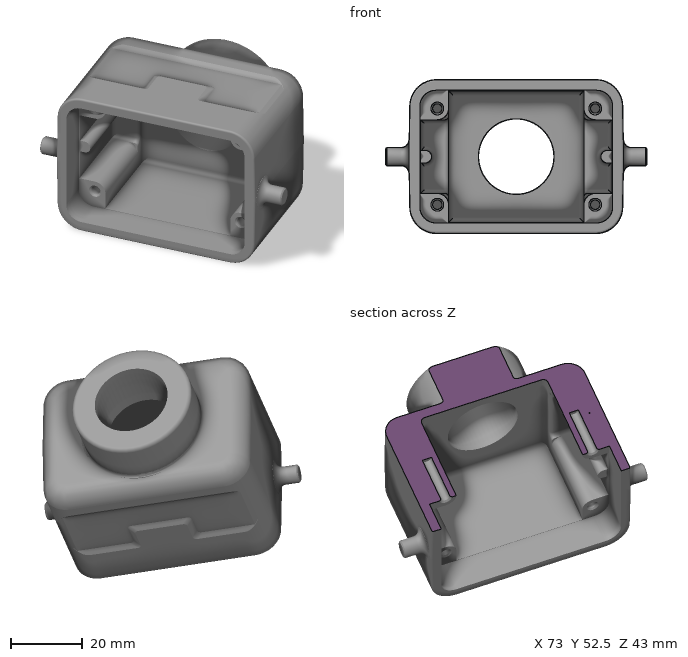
import cadquery as cq
import math

body_depth = 39.9
body_height = 43.0
body_half_width = 30.0
side_draft = 1.0
corner_radius = 7.5
back_radius = 5.1
rim_radius = 0.6

wall_overlap = 0.7

overall_depth = 52.5
collar_radius = 17.15
collar_root_radius = 0.7
collar_rim_radius = 1.1
entry_hole_radius = 10.5

opening_width = 53.9
opening_height = 37.1
opening_radius = 4.5
opening_depth = 9.05

chamber_width = 37.8
chamber_height = 36.8
chamber_floor = 36.95
chamber_floor_radius = 1.4
pocket_width = 53.4
pocket_floor = 33.6
pocket_floor_radius = 1.2
sill_radius = 0.95

screw_x = 22.05
screw_z = 13.4
screw_hole_diameter = 2.6
screw_mouth_diameter = 3.6
screw_hole_depth = 14.6
pillar_radius = screw_x - chamber_width / 2
pocket_height = 2 * (screw_z - pillar_radius)

rib_front = 9.5
rib_tip_x = 23.65
rib_radius = 1.75
rib_root_radius = 1.1

overall_width = 73.0
pin_y = 6.1
pin_radius = 2.55
pin_tip_chamfer = 0.4
pin_root_radius = 2.1

recess_depth = 0.9
recess_front = 13.7
recess_back = 30.2
recess_wall_run = 1.7
recess_corner_radius = 1.1
tongue_half_width = 9.2
tongue_back = 21.7
floor_half_width = 25.6
floor_end_angle = 30.0
cutter_half_width = 29.2
cutter_reach = 1.75


def make_opening():
    opening = cq.Workplane("XY").box(opening_width, opening_depth, opening_height)
    return opening.edges("|Y").fillet(opening_radius).translate((0, opening_depth / 2, 0))


def floored_block(width, height, floor_y, floor_radius):
    """Chamber from the opening to a floor with rounded edges."""
    block = cq.Workplane("XY").box(width, floor_y - opening_depth, height)
    block = block.translate((0, (opening_depth + floor_y) / 2, 0))
    return block.faces(">Y").edges().fillet(floor_radius)


def y_cylinder(radius, y_start, y_end, x=0.0, z=0.0):
    plane = cq.Workplane("XZ", origin=(x, y_start, z))
    return plane.circle(radius).extrude(y_start - y_end)


def make_body():
    half_height = body_height / 2
    edge_half_width = body_half_width - half_height * math.tan(math.radians(side_draft))
    outline = [
        (body_half_width, 0),
        (edge_half_width, half_height),
        (-edge_half_width, half_height),
        (-body_half_width, 0),
        (-edge_half_width, -half_height),
        (edge_half_width, -half_height),
    ]
    body = cq.Workplane("XZ").polyline(outline).close().extrude(-body_depth)
    body = body.edges("|Y and (>Z or <Z)").fillet(corner_radius)
    body = body.faces(">Y").edges().fillet(back_radius)
    return body.faces("<Y").edges().fillet(rim_radius)


def make_collar():
    collar = y_cylinder(collar_radius, chamber_floor, overall_depth)
    return collar.faces(">Y").edges().fillet(collar_rim_radius)


def make_collar_root():
    """Concave flare where the collar meets the back of the body."""
    outer = collar_radius + collar_root_radius
    bend = collar_root_radius * (1 - math.sqrt(0.5))
    profile = (
        cq.Workplane("XY")
        .moveTo(entry_hole_radius, body_depth - collar_root_radius)
        .lineTo(outer, body_depth - collar_root_radius)
        .lineTo(outer, body_depth)
        .threePointArc(
            (collar_radius + bend, body_depth + bend),
            (collar_radius, body_depth + collar_root_radius),
        )
        .lineTo(entry_hole_radius, body_depth + collar_root_radius)
        .close()
    )
    return profile.revolve(360, (0, 0, 0), (0, 1, 0))


def make_pin():
    """Pin on the +X side with a flared root, turned about its own axis."""
    tip_x = overall_width / 2
    root_outer = pin_radius + pin_root_radius
    bend = pin_root_radius * (1 - math.sqrt(0.5))
    root_base_x = body_half_width - wall_overlap
    profile = (
        cq.Workplane("XY")
        .moveTo(root_base_x, pin_y)
        .lineTo(root_base_x, pin_y + root_outer)
        .lineTo(body_half_width, pin_y + root_outer)
        .threePointArc(
            (body_half_width + bend, pin_y + pin_radius + bend),
            (body_half_width + pin_root_radius, pin_y + pin_radius),
        )
        .lineTo(tip_x - pin_tip_chamfer, pin_y + pin_radius)
        .lineTo(tip_x, pin_y + pin_radius - pin_tip_chamfer)
        .lineTo(tip_x, pin_y)
        .close()
    )
    return profile.revolve(360, (0, pin_y, 0), (1, pin_y, 0))


def make_rib():
    """Round-nosed rib on the +X end wall, standing on the pocket floor."""
    nose_x = rib_tip_x + rib_radius
    base_y = pocket_floor + wall_overlap
    root_y = pocket_floor - rib_root_radius
    root_outer = rib_radius + rib_root_radius
    bend = rib_root_radius * (1 - math.sqrt(0.5))
    nose = y_cylinder(rib_radius, rib_front, base_y, nose_x)
    web_length = body_half_width - wall_overlap - nose_x
    web = cq.Workplane("XY").box(web_length, base_y - rib_front, 2 * rib_radius)
    web = web.translate((nose_x + web_length / 2, (base_y + rib_front) / 2, 0))
    root_section = (
        cq.Workplane("XY")
        .moveTo(nose_x, base_y)
        .lineTo(nose_x + root_outer, base_y)
        .lineTo(nose_x + root_outer, pocket_floor)
        .threePointArc(
            (nose_x + rib_radius + bend, pocket_floor - bend),
            (nose_x + rib_radius, root_y),
        )
        .lineTo(nose_x, root_y)
        .close()
    )
    root = root_section.revolve(360, (nose_x, 0, 0), (nose_x, 1, 0))
    return nose.union(web).union(root)


def make_pillar_rounding():
    """Material outside the rounded inner corner of the +X +Z pillar."""
    inner_x = screw_x - pillar_radius
    inner_z = screw_z - pillar_radius
    end_y = pocket_floor - pocket_floor_radius
    corner = (
        cq.Workplane("XZ", origin=(0, opening_depth, 0))
        .moveTo(inner_x, screw_z)
        .lineTo(inner_x - wall_overlap, screw_z)
        .lineTo(inner_x - wall_overlap, inner_z - wall_overlap)
        .lineTo(screw_x, inner_z - wall_overlap)
        .lineTo(screw_x, inner_z)
        .radiusArc((inner_x, screw_z), pillar_radius)
        .close()
    )
    return corner.extrude(opening_depth - end_y)


def make_screw_hole():
    """Blind screw hole with a countersunk mouth in the +X +Z pillar."""
    hole = y_cylinder(screw_hole_diameter / 2, opening_depth, opening_depth + screw_hole_depth)
    mouth_depth = (screw_mouth_diameter - screw_hole_diameter) / 2
    mouth = cq.Solid.makeCone(
        screw_mouth_diameter / 2,
        screw_hole_diameter / 2,
        mouth_depth,
        cq.Vector(0, opening_depth, 0),
        cq.Vector(0, 1, 0),
    )
    return hole.union(cq.Workplane(mouth)).translate((screw_x, 0, screw_z))


def make_cavity():
    opening = make_opening()
    chamber = floored_block(chamber_width, chamber_height, chamber_floor, chamber_floor_radius)
    pockets = floored_block(pocket_width, pocket_height, pocket_floor, pocket_floor_radius)
    return opening.union(chamber).union(pockets)


def round_sills(shell):
    """Round the two edges where the pocket floors drop into the chamber."""
    for side in (-1, 1):
        edge_point = (side * chamber_width / 2, pocket_floor, 0)
        shell = shell.edges(cq.selectors.NearestToPointSelector(edge_point)).fillet(sill_radius)
    return shell


def recess_outline(z):
    """Recess boundary at height z; its walls slope outwards towards the outer face."""
    floor_z = body_height / 2 - recess_depth
    run = (z - floor_z) * recess_wall_run / recess_depth
    front = recess_front - run
    back = recess_back + run
    tongue_x = tongue_half_width - run
    tongue_y = tongue_back - run
    outline = cq.Sketch().polygon(
        [
            (-cutter_half_width, back),
            (cutter_half_width, back),
            (cutter_half_width, front),
            (tongue_x, front),
            (tongue_x, tongue_y),
            (-tongue_x, tongue_y),
            (-tongue_x, front),
            (-cutter_half_width, front),
            (-cutter_half_width, back),
        ]
    )
    tongue_corners = cq.selectors.BoxSelector(
        (-floor_half_width, 0, -0.7), (floor_half_width, recess_back, 0.7)
    )
    outline = outline.vertices(tongue_corners).fillet(recess_corner_radius)
    return outline.moved(cq.Location(cq.Vector(0, 0, z)))


def make_recess():
    """Cutter for the recess in the top face, with a floor that falls away at both ends."""
    face_z = body_height / 2
    floor_z = face_z - recess_depth
    low_z = face_z - cutter_reach
    high_z = face_z + cutter_reach / 2
    sections = cq.Workplane("XY").placeSketch(recess_outline(low_z), recess_outline(high_z))
    sloped = sections.loft(ruled=True)
    end_drop = (cutter_half_width - floor_half_width) * math.tan(math.radians(floor_end_angle))
    plate = (
        cq.Workplane("XZ")
        .polyline(
            [
                (-floor_half_width, floor_z),
                (floor_half_width, floor_z),
                (cutter_half_width, floor_z - end_drop),
                (-cutter_half_width, floor_z - end_drop),
            ]
        )
        .close()
        .extrude(-body_depth)
    )
    return sloped.cut(plate)


def in_each_corner(feature):
    pair = feature.union(feature.mirror("YZ"))
    return pair.union(pair.mirror("XY"))


shell = make_body().union(make_collar()).union(make_collar_root())
shell = round_sills(shell.cut(make_cavity()))
shell = shell.cut(in_each_corner(make_pillar_rounding()))
shell = shell.cut(in_each_corner(make_screw_hole()))
shell = shell.cut(y_cylinder(entry_hole_radius, 0, overall_depth))

rib = make_rib()
pin = make_pin()
recess = make_recess()
shell = shell.union(rib).union(rib.mirror("YZ"))
shell = shell.union(pin).union(pin.mirror("YZ"))
result = shell.cut(recess).cut(recess.mirror("XY"))